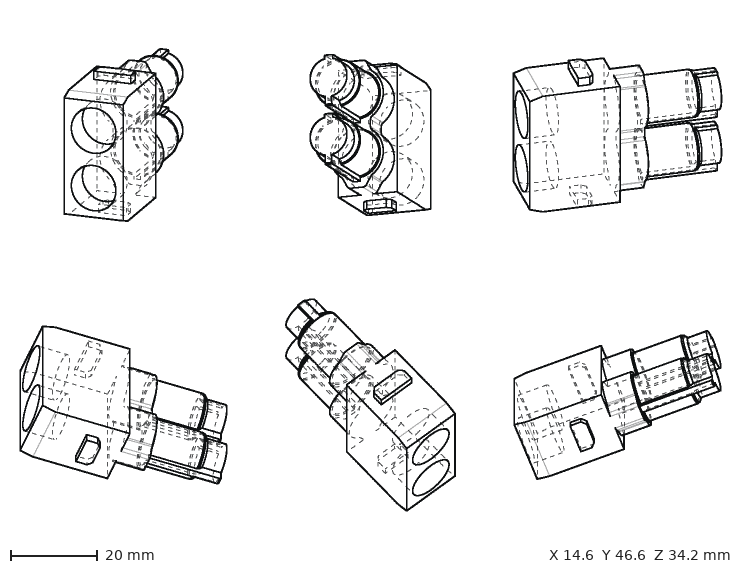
import cadquery as cq
import math

total_length = 46.6
body_width = 14.6
body_height = 30.2
body_length = 21.58
bevel_drop = 1.0
bevel_length = 3.08

sleeve_pitch = 14.0
socket_diameter = 11.0
socket_depth = 7.25

tab_height = 2.0
tab_front = 12.35
tab_length = 3.75
tab_corner = 1.03
upper_tab_width = 9.15
lower_tab_width = 6.9

collar_radius = 6.55
collar_end = 28.55
web_half_width = 3.4
web_fillet = 0.95
ridge_half_top = 2.1
ridge_slope = 60.0
ridge_round = 0.95

foot_radius = 5.82
foot_length = 0.3
barrel_radius = 5.6
barrel_end = 40.7
shoulder_radius = 5.45
shoulder_end = 41.1
neck_radius = 4.55
neck_start = 41.9

key_width = 2.05
key_end_round = 0.45
fin_width = 1.7
fin_reach = 6.65
fin_chamfer = 0.3

half_height = body_height / 2
sleeve_heights = (-sleeve_pitch / 2, sleeve_pitch / 2)


def extrude_along_y(sketch, start, end):
    """Extrude an XZ sketch from Y = start to Y = end."""
    return sketch.extrude(start - end).translate((0, start, 0))


def make_body():
    bevel_height = half_height - bevel_drop
    return (
        cq.Workplane("YZ")
        .polyline([
            (0, -bevel_height),
            (bevel_length, -half_height),
            (body_length, -half_height),
            (body_length, half_height),
            (bevel_length, half_height),
            (0, bevel_height),
        ])
        .close()
        .extrude(body_width / 2, both=True)
    )


def make_tab(width, base_height):
    return (
        cq.Workplane("XY", origin=(0, tab_front + tab_length / 2, base_height))
        .box(width, tab_length, tab_height, centered=(True, True, False))
        .edges("|Z and >Y")
        .chamfer(tab_corner)
    )


def make_web():
    """Two collars on a central web, with a round-topped ridge above and below them."""
    slope = math.radians(ridge_slope)
    ridge_base = (sleeve_pitch + collar_radius) / 2
    ridge_half_base = ridge_half_top + (half_height - ridge_base) / math.tan(slope)
    ridge_outline = [
        (-ridge_half_base, ridge_base),
        (-ridge_half_top, half_height),
        (ridge_half_top, half_height),
        (ridge_half_base, ridge_base),
    ]
    ridge = extrude_along_y(cq.Workplane("XZ").polyline(ridge_outline).close(), body_length, collar_end)
    ridge = ridge.edges("|Y and >Z").fillet(ridge_round)
    center = extrude_along_y(
        cq.Workplane("XZ").rect(2 * web_half_width, sleeve_pitch), body_length, collar_end
    )
    collar_centers = [(0, height) for height in sleeve_heights]
    collars = extrude_along_y(
        cq.Workplane("XZ").pushPoints(collar_centers).circle(collar_radius), body_length, collar_end
    )
    web = center.union(collars).union(ridge).union(ridge.mirror("XY"))

    corner_height = half_height - 2 * ridge_round
    corner_half_width = web_half_width + web_fillet
    inside_corners = cq.selectors.BoxSelector(
        (-corner_half_width, body_length, -corner_height),
        (corner_half_width, collar_end, corner_height),
    )
    return web.edges("|Y").edges(inside_corners).fillet(web_fillet)


def make_sleeve():
    """One sleeve about the Y axis with its key and fin."""
    barrel = (
        cq.Workplane("XY")
        .polyline([
            (0, body_length),
            (foot_radius, body_length),
            (foot_radius, collar_end),
            (barrel_radius, collar_end + foot_length),
            (barrel_radius, barrel_end),
            (shoulder_radius, barrel_end),
            (shoulder_radius, shoulder_end),
            (neck_radius, neck_start),
            (neck_radius, total_length),
            (0, total_length),
        ])
        .close()
        .revolve(360, (0, 0, 0), (0, 1, 0))
    )
    key_disc = (
        cq.Workplane("XY")
        .moveTo(0, barrel_end)
        .lineTo(shoulder_radius, barrel_end)
        .lineTo(shoulder_radius, total_length - key_end_round)
        .radiusArc((shoulder_radius - key_end_round, total_length), -key_end_round)
        .lineTo(0, total_length)
        .close()
        .revolve(360, (0, 0, 0), (0, 1, 0))
    )
    key_slab = extrude_along_y(
        cq.Workplane("XZ").center(0, shoulder_radius / 2).rect(key_width, shoulder_radius),
        barrel_end,
        total_length,
    )
    fin = extrude_along_y(
        cq.Workplane("XZ").center(0, -fin_reach / 2).rect(fin_width, fin_reach), body_length, total_length
    )
    fin = fin.edges(">Y and <Z").chamfer(fin_chamfer)
    return barrel.union(key_disc.intersect(key_slab)).union(fin)


body = make_body()
body = body.union(make_tab(upper_tab_width, half_height))
body = body.union(make_tab(lower_tab_width, -half_height - tab_height))
body = body.union(make_web())

sleeve = make_sleeve()
for height in sleeve_heights:
    body = body.union(sleeve.translate((0, 0, height)))

socket = extrude_along_y(cq.Workplane("XZ").circle(socket_diameter / 2), 0, socket_depth)
for height in sleeve_heights:
    body = body.cut(socket.translate((0, 0, height)))

result = body